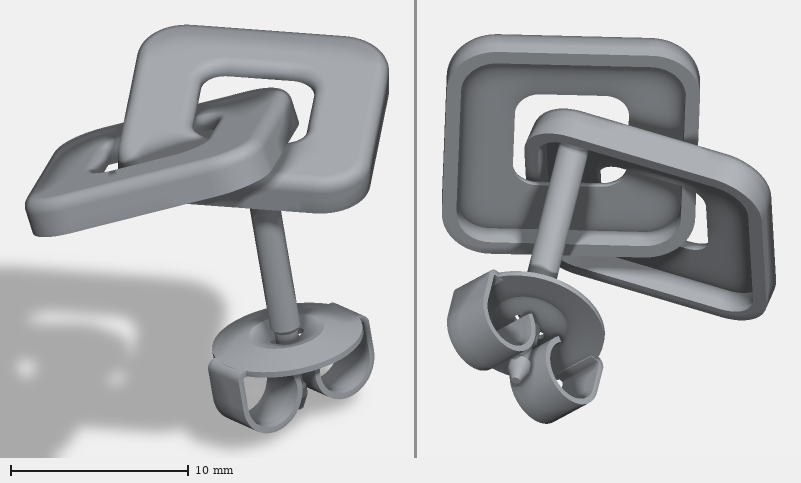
import cadquery as cq
import math

link_side = 14.3
link_corner_radius = 2.82
link_hole_side = 6.43
link_hole_corner_radius = 1.4
link_thickness = 2.14
link_fillet = 0.7
link_wall = 0.8

tilted_link_centre = (0.52, -6.68, 0.15)
link_tilt = 28.6

post_origin = (0.3, -0.3, 0)
post_tilt = link_tilt / 2

post_top = 1.85
shoulder_start = -12.03
shoulder_end = -12.28
neck_bottom = -14.12
groove_top = -14.4
groove_bottom = -15.66
collar_top = -15.83
collar_bottom = -16.37
post_tip = -17.2

post_radius = 0.85
neck_radius = 0.66
groove_radius = 0.47
collar_radius = 0.61
tip_radius = 0.25

sheet_thickness = 0.35
disc_radius = 4.3
crown_radius = 2.15
crown_height = -12.37
rim_height = -12.77
dish_height = -12.8
slot_length = 2.2
slot_width = 0.74
slot_depth = 1.23

strip_width = 2.9
strip_reach = 4.66
strip_overlap = 0.5
bend_radius = 0.52
curl_radius = 2.09
curl_end_angle = 45
curl_centre_y = strip_reach - curl_radius
curl_centre_z = -15.07


def rounded_square(side, corner_radius, height):
    """Upright block on the XY plane with a square outline and rounded corners."""
    block = cq.Workplane("XY").rect(side, side).extrude(height)
    return block.edges("|Z").fillet(corner_radius)


def make_link():
    """Square frame with rounded corners, standing on a corner, top edges filleted, hollow from below."""
    frame = rounded_square(link_side, link_corner_radius, link_thickness)
    frame = frame.cut(rounded_square(link_hole_side, link_hole_corner_radius, link_thickness))
    frame = frame.faces(">Z").edges().fillet(link_fillet)
    hollow = rounded_square(
        link_side - 2 * link_wall, link_corner_radius - link_wall, link_thickness - link_wall
    )
    frame = frame.cut(hollow)
    return frame.rotate((0, 0, 0), (0, 0, 1), 45)


def tilt_and_place(body, tilt, place):
    """Lean a body about the Y axis so that its top moves toward -X, then move it into place."""
    return body.rotate((0, 0, 0), (0, 1, 0), -tilt).translate(place)


def make_post():
    """Round post with a chamfered shoulder, a neck, a latching groove and a pointed tip."""
    post = (
        cq.Workplane("XZ")
        .moveTo(0, post_top)
        .lineTo(post_radius, post_top)
        .lineTo(post_radius, shoulder_start)
        .lineTo(neck_radius, shoulder_end)
        .lineTo(neck_radius, neck_bottom)
        .lineTo(groove_radius, groove_top)
        .lineTo(groove_radius, groove_bottom)
        .lineTo(collar_radius, collar_top)
        .lineTo(collar_radius, collar_bottom)
        .lineTo(tip_radius, post_tip)
        .lineTo(0, post_tip)
        .close()
        .revolve(360, (0, 0, 0), (0, 1, 0))
    )
    return tilt_and_place(post, post_tilt, post_origin)


def make_earring():
    """Two interlocked links fused together, with the post fused under the second one."""
    flat_link = make_link()
    tilted_link = tilt_and_place(make_link(), link_tilt, tilted_link_centre)
    return flat_link.union(tilted_link).union(make_post())


def make_disc():
    """Conical sheet disc, dished in the middle, with a slotted hole that fits the post neck."""
    disc = (
        cq.Workplane("XZ")
        .moveTo(neck_radius, dish_height)
        .lineTo(crown_radius, crown_height)
        .lineTo(disc_radius, rim_height)
        .lineTo(disc_radius, rim_height - sheet_thickness)
        .lineTo(crown_radius, crown_height - sheet_thickness)
        .lineTo(neck_radius, dish_height - sheet_thickness)
        .close()
        .revolve(360, (0, 0, 0), (0, 1, 0))
    )
    slot = (
        cq.Workplane("XY", origin=(0, 0, crown_height))
        .slot2D(slot_length, slot_width, 90)
        .extrude(-slot_depth)
    )
    return disc.cut(slot)


def curl_point(radius, angle):
    """Point of the curl in (Y, Z), the angle being counted from +Y toward +Z."""
    turn = math.radians(angle)
    return (curl_centre_y + radius * math.cos(turn), curl_centre_z + radius * math.sin(turn))


def bend_point(radius, angle):
    """Point of the bend at the disc rim in (Y, Z), the angle being counted from +Y toward +Z."""
    turn = math.radians(angle)
    bend_centre_y = strip_reach - bend_radius
    bend_centre_z = rim_height - bend_radius
    return (bend_centre_y + radius * math.cos(turn), bend_centre_z + radius * math.sin(turn))


def make_strip():
    """Spring strip on the +Y side: bent down at the rim, then curled in against the post."""
    inner_bend_radius = bend_radius - sheet_thickness
    inner_curl_radius = curl_radius - sheet_thickness
    root_y = strip_reach - bend_radius - strip_overlap
    curl_end = -180 - curl_end_angle
    return (
        cq.Workplane("YZ")
        .moveTo(root_y, rim_height)
        .lineTo(*bend_point(bend_radius, 90))
        .threePointArc(bend_point(bend_radius, 45), bend_point(bend_radius, 0))
        .lineTo(*curl_point(curl_radius, 0))
        .threePointArc(curl_point(curl_radius, curl_end / 2), curl_point(curl_radius, curl_end))
        .lineTo(*curl_point(inner_curl_radius, curl_end))
        .threePointArc(curl_point(inner_curl_radius, curl_end / 2), curl_point(inner_curl_radius, 0))
        .lineTo(*bend_point(inner_bend_radius, 0))
        .threePointArc(bend_point(inner_bend_radius, 45), bend_point(inner_bend_radius, 90))
        .lineTo(root_y, rim_height - sheet_thickness)
        .close()
        .extrude(strip_width / 2, both=True)
    )


def make_clutch():
    """Butterfly clutch: the disc and its two mirrored spring strips."""
    clutch = make_disc()
    for side_angle in (0, 180):
        clutch = clutch.union(make_strip().rotate((0, 0, 0), (0, 0, 1), side_angle))
    return tilt_and_place(clutch, post_tilt, post_origin)


earring = make_earring()
clutch = make_clutch()
result = cq.Compound.makeCompound([*earring.solids().vals(), *clutch.solids().vals()])